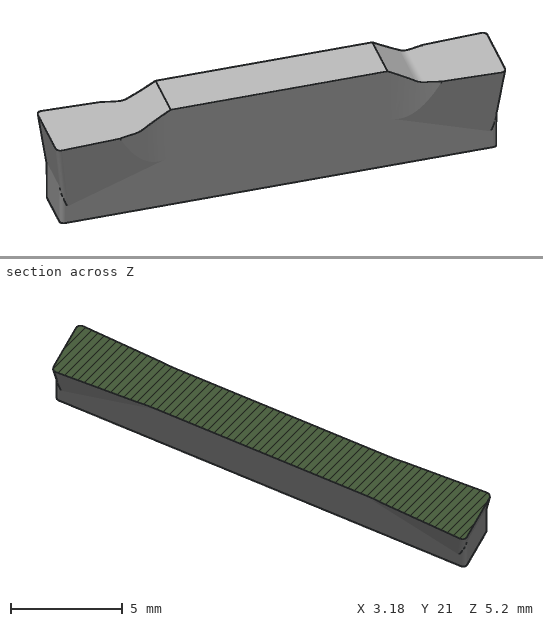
import cadquery as cq
import math

length = 21.0
height = 5.2
body_width = 2.33
body_end_inset = 0.3
body_corner_radius = 0.2

head_width = 3.2
head_height = 4.35
head_length = 5.25
head_corner_radius = 0.23
end_relief = math.tan(math.radians(7))
side_relief = math.tan(math.radians(6.7))
back_taper = math.tan(math.radians(2.4))

runout_start = 3.02
runout_half_width = 1.46

ramp_top_inset = 5.44
ramp_angle = math.radians(30)
ramp_blend_radius = 0.85

half_length = length / 2
half_body = body_width / 2


def side_profile():
    """Full-length YZ silhouette, extruded wider than the heads."""
    ramp_top = half_length - ramp_top_inset
    ramp_foot = ramp_top + (height - head_height) / math.tan(ramp_angle)
    profile = (
        cq.Workplane("YZ")
        .polyline([
            (-half_length, 0),
            (half_length, 0),
            (half_length, head_height),
            (ramp_foot, head_height),
            (ramp_top, height),
            (-ramp_top, height),
            (-ramp_foot, head_height),
            (-half_length, head_height),
        ])
        .close()
        .extrude(head_width, both=True)
    )
    for foot_y in (-ramp_foot, ramp_foot):
        foot_edge = cq.selectors.NearestToPointSelector((0, foot_y, head_height))
        profile = profile.edges("|X").edges(foot_edge).fillet(ramp_blend_radius)
    return profile


def body():
    """Straight bar with rounded vertical corners."""
    return (
        cq.Workplane("XY")
        .rect(body_width, length - 2 * body_end_inset)
        .extrude(height)
        .edges("|Z")
        .fillet(body_corner_radius)
    )


def head_section(z):
    """Corners of the relieved head at height z, at the -Y end."""
    drop = head_height - z
    front_y = -half_length + drop * end_relief
    back_y = -half_length + head_length

    def half_width(y):
        return head_width / 2 - drop * side_relief - (y + half_length) * back_taper

    front = half_width(front_y)
    back = half_width(back_y)
    return [(-front, front_y), (front, front_y), (back, back_y), (-back, back_y)]


def head():
    """Head at the -Y end: relieved wedge limited by the concave run-out."""
    wedge = (
        cq.Workplane("XY")
        .polyline(head_section(0))
        .close()
        .workplane(offset=height)
        .polyline(head_section(height))
        .close()
        .loft(ruled=True)
        .faces("<Y")
        .edges("not #Z")
        .fillet(head_corner_radius)
    )

    run = head_length - runout_start
    rise = runout_half_width - half_body
    radius = (run**2 + rise**2) / (2 * rise)
    mid_angle = math.asin(run / radius) / 2
    start_y = -half_length + runout_start
    back_y = -half_length + head_length
    mid_x = half_body + radius * (1 - math.cos(mid_angle))
    mid_y = back_y - radius * math.sin(mid_angle)
    outer_y = -half_length - head_width
    limit = (
        cq.Workplane("XY")
        .moveTo(-head_width, outer_y)
        .lineTo(head_width, outer_y)
        .lineTo(head_width, start_y)
        .lineTo(runout_half_width, start_y)
        .threePointArc((mid_x, mid_y), (half_body, back_y))
        .lineTo(-half_body, back_y)
        .threePointArc((-mid_x, mid_y), (-runout_half_width, start_y))
        .lineTo(-head_width, start_y)
        .close()
        .extrude(height)
    )
    return wedge.intersect(limit)


near_head = head()
far_head = near_head.mirror("XZ")
result = body().union(near_head).union(far_head).intersect(side_profile())